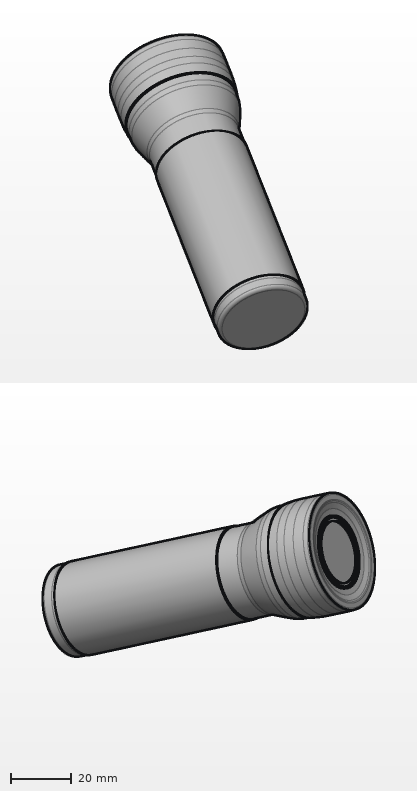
import cadquery as cq

TOTAL_LENGTH = 110.0
HEAD_LENGTH = 16.9

HEAD_RADIUS = 20.0
CROWN_DROP = 0.1
FRONT_EDGE_X = 0.8
CROWN_START_X = 2.4
CROWN_FLAT_START_X = 6.4
CROWN_FLAT_END_X = 10.0
CROWN_END_X = 13.0
HEAD_BACK_RADIUS = 19.6
HEAD_BACK_CHAMFER = 0.2
FRONT_RADIUS = HEAD_RADIUS - CROWN_DROP

RIM_OUTER_RADIUS = 19.2
RIM_STEP = 0.1
RIM_INNER_RADIUS = 17.6
BEVEL_RADIUS = 17.2
BEVEL_DEPTH = 0.1
DISH_RADIUS = 16.6
DISH_EDGE_DEPTH = 0.3
DISH_BREAK_RADIUS = 14.6
DISH_BREAK_DEPTH = 1.0
DISH_INNER_RADIUS = 12.4
DISH_DEPTH = 1.3
GROOVE_INNER_RADIUS = 11.7
WINDOW_RADIUS = 10.6
GROOVE_DEPTH = 0.2
WINDOW_STEP = 0.5

SHOULDER_RADIUS = 38.5 / 2
SHOULDER_END_X = 19.9
FLARE_START_X = 21.9
FLARE_START_RADIUS = 18.9
FLARE_MID_X = 26.0
FLARE_MID_RADIUS = 17.6
FLARE_END_X = 29.9
FLARE_END_RADIUS = 16.1
NECK_RADIUS = 31.5 / 2
NECK_START_X = 31.6
GRIP_RADIUS = 32.0 / 2
GRIP_START_X = 39.8
GRIP_CHAMFER = GRIP_RADIUS - NECK_RADIUS
GRIP_END_X = 104.5
TAIL_STEP_RADIUS = 15.8
TAIL_START_X = 105.7
END_ROUND = 1.3


def revolve_about_x(profile):
    """Turn a closed (x, radius) profile once around the X axis."""
    return profile.close().revolve(360, (0, 0, 0), (1, 0, 0))


def make_head():
    """Crowned head ring closed by a shallow stepped dish."""
    window_depth = DISH_DEPTH + WINDOW_STEP
    groove_floor_x = DISH_DEPTH + GROOVE_DEPTH
    profile = (
        cq.Workplane("XY")
        .moveTo(window_depth, 0)
        .lineTo(window_depth, WINDOW_RADIUS)
        .lineTo(DISH_DEPTH, WINDOW_RADIUS)
        .lineTo(DISH_DEPTH, GROOVE_INNER_RADIUS)
        .lineTo(groove_floor_x, GROOVE_INNER_RADIUS)
        .lineTo(groove_floor_x, DISH_INNER_RADIUS)
        .lineTo(DISH_DEPTH, DISH_INNER_RADIUS)
        .lineTo(DISH_BREAK_DEPTH, DISH_BREAK_RADIUS)
        .lineTo(DISH_EDGE_DEPTH, DISH_RADIUS)
        .lineTo(BEVEL_DEPTH, BEVEL_RADIUS)
        .lineTo(0, RIM_INNER_RADIUS)
        .lineTo(0, RIM_OUTER_RADIUS)
        .lineTo(RIM_STEP, FRONT_RADIUS)
        .lineTo(FRONT_EDGE_X, HEAD_RADIUS - CROWN_DROP / 2)
        .lineTo(CROWN_START_X, HEAD_RADIUS - CROWN_DROP / 4)
        .lineTo(CROWN_FLAT_START_X, HEAD_RADIUS)
        .lineTo(CROWN_FLAT_END_X, HEAD_RADIUS)
        .lineTo(CROWN_END_X, HEAD_RADIUS - CROWN_DROP / 2)
        .lineTo(HEAD_LENGTH - HEAD_BACK_CHAMFER, HEAD_BACK_RADIUS)
        .lineTo(HEAD_LENGTH, HEAD_BACK_RADIUS - HEAD_BACK_CHAMFER)
        .lineTo(HEAD_LENGTH, 0)
    )
    return revolve_about_x(profile)


def make_body():
    """Solid barrel that starts at the back face of the head."""
    barrel = revolve_about_x(
        cq.Workplane("XY")
        .moveTo(HEAD_LENGTH, 0)
        .lineTo(HEAD_LENGTH, SHOULDER_RADIUS)
        .lineTo(SHOULDER_END_X, SHOULDER_RADIUS)
        .lineTo(FLARE_START_X, FLARE_START_RADIUS)
        .threePointArc((FLARE_MID_X, FLARE_MID_RADIUS), (FLARE_END_X, FLARE_END_RADIUS))
        .lineTo(NECK_START_X, NECK_RADIUS)
        .lineTo(GRIP_START_X - GRIP_CHAMFER, NECK_RADIUS)
        .lineTo(GRIP_START_X, GRIP_RADIUS)
        .lineTo(GRIP_END_X, GRIP_RADIUS)
        .lineTo(GRIP_END_X, TAIL_STEP_RADIUS)
        .lineTo(TAIL_START_X, NECK_RADIUS)
        .lineTo(TOTAL_LENGTH, NECK_RADIUS)
        .lineTo(TOTAL_LENGTH, 0)
    )
    return barrel.faces(">X").edges().fillet(END_ROUND)


head = make_head()
body = make_body()

result = cq.Compound.makeCompound([head.val(), body.val()])